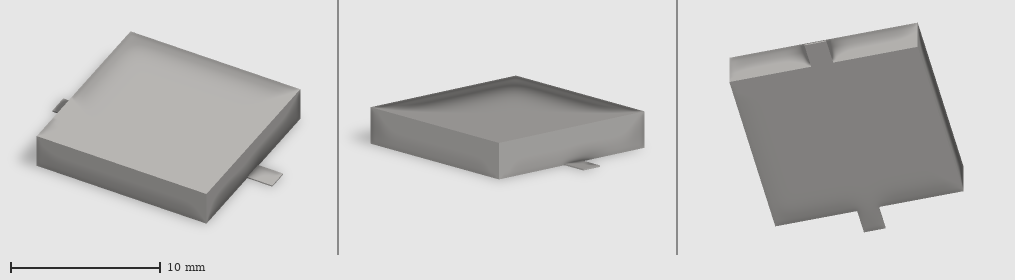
import cadquery as cq

overall_length = 16.85
body_side = 13.0
body_height = 2.53

lead_width = 1.5
lead_thickness = 0.1
lead_offset_y = -0.1


def plate(length, width, height, center_y=0.0):
    """Rectangular block resting on Z = 0 and centred on X = 0."""
    return (
        cq.Workplane("XY")
        .center(0, center_y)
        .box(length, width, height, centered=(True, True, False))
    )


body = plate(body_side, body_side, body_height)

leads = plate(overall_length, lead_width, lead_thickness, lead_offset_y)

result = body.union(leads)